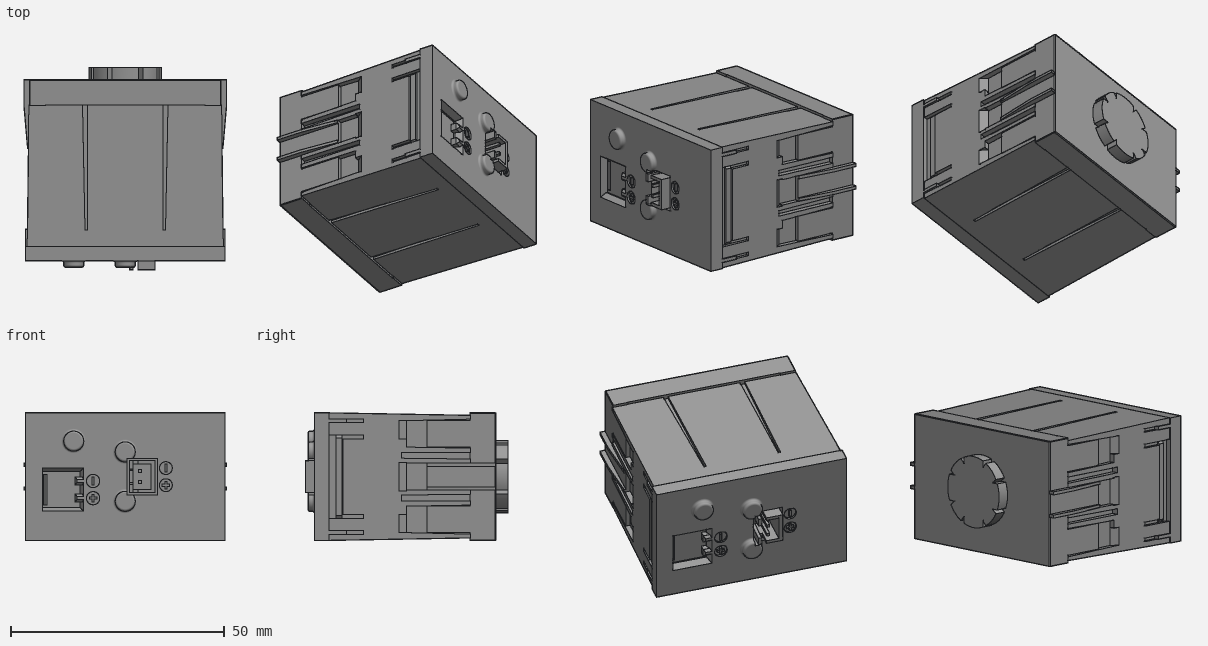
import cadquery as cq
import math


half_height = 14.975
panel_half_width = 23.35
panel_thickness = 3.43
body_front_y = 36.5
body_half_width_rear, body_half_width_front = 22.95, 22.55
body_half_height_rear, body_half_height_front = 14.95, 14.37
bezel_half_width = 22.45
bezel_face_y = 42.5
bezel_edge_chamfer = 0.15
bezel_face_chamfer = 0.3
bezel_lip = 0.12
bezel_lip_start_x = 18.7

knob_radius = 8.5
knob_end_y = 45.3
knob_lobe_half_width = 3.12
knob_notch_edge = 4.1
knob_notch_depth = 1.6

pocket_floor_x = 21.4
pocket_rear_y = 21.5
ramp_rear_y = 19.8
tongue_x = bezel_half_width
tongue_rear_y = 26.3
outer_tongue_z = (6.91, 13.1)
outer_pocket_front_z = (6.66, 13.45)
outer_pocket_rear_z = (6.91, 13.1)
outer_ramp_z = (8.82, 13.1)
center_pocket_half_z = 3.14
center_ramp_half_z = 3.35
rib_x, rib_end_x = 23.7, 22.87
rib_inner_z = 2.41
rib_front_y = 42.4
rib_taper_y = 36.0
outside_x = 25.0

side_groove_rear_y = 20.4
side_groove_outer_z = 5.65
side_groove_inner_z_front, side_groove_inner_z_rear = 4.12, 4.31
side_groove_floor_x = 21.2
top_groove_rear_y = 7.25
top_groove_inner_x = 8.83
top_groove_outer_x_front, top_groove_outer_x_rear = 10.0, 9.42
top_groove_floor_z = 13.8

finger_front_y = 11.45
tab_front_y = 7.46
tab_z = (12.65, 13.5)
inner_finger_z = (8.85, 9.8)
latch_slot_front_y = 6.66
latch_slot_floor_x = 22.0
latch_bar_y = (5.0, 6.45)
latch_bar_x = 22.65
latch_bar_half_z = 9.07

button_centers = [(-12.05, 8.3), (0.0, 5.78), (0.0, -5.78)]
button_radius = 4.7 / 2
button_flare = 0.5
button_round = 0.5
button_height = 1.5

left_mark_diameter, right_mark_diameter = 3.1, 3.0
left_mark_x, right_mark_x = -7.52, 9.51
left_marks_z = (-1.02, -5.04)
right_marks_z = (2.0, -2.0)
mark_depth = 0.5
mark_stroke = 0.5
mark_length = 1.8

terminal_x = (-19.35, -9.74)
terminal_z = (-8.09, 2.03)
terminal_depth = 2.0
terminal_slope_depth = 1.65
terminal_wall_slope = 0.82
contact_centers_z = (-1.0, -5.0)
contact_x = -11.7
contact_height = 1.8
contact_taper_x, contact_taper_z = 0.4, 0.55
contact_taper_depth = 0.6
side_slot_x = (-19.15, -18.35)
side_slot_z = (-6.62, 0.55)
side_slot_step_x = -18.75
side_slot_depth = 0.5
side_slot_step_depth = 1.0

recess_x = (0.44, 7.55)
recess_half_z = 4.3
recess_depth = 5.0
shroud_x = (1.05, 7.0)
shroud_half_z = 3.72
shroud_front_y = -2.1
key_wall = 0.8
cavity_right_x = 6.03
cavity_half_z = 2.96
notch_end_x = 2.95
notch_floor_y = 1.0
key_gap_half_z, key_gap_floor_half_z = 1.8, 1.4
key_gap_taper_y = (0.5, 3.0)
pin_size = 0.7
pin_x = 3.42
pin_pitch = 2.54


def box(x_range, y_range, z_range):
    """Axis-aligned block between the given limits."""
    size = [limit[1] - limit[0] for limit in (x_range, y_range, z_range)]
    corner = cq.Vector(x_range[0], y_range[0], z_range[0])
    return cq.Workplane(cq.Solid.makeBox(*size, corner))


def prism_x(points_yz, x_start, x_end):
    """Outline in (Y, Z), extruded along X."""
    return cq.Workplane("YZ", origin=(x_start, 0, 0)).polyline(points_yz).close().extrude(x_end - x_start)


def prism_y(points_xz, y_start, y_end):
    """Outline in (X, Z), extruded along Y."""
    plane = cq.Plane(origin=(0, y_start, 0), xDir=(1, 0, 0), normal=(0, -1, 0))
    return cq.Workplane(plane).polyline(points_xz).close().extrude(y_start - y_end)


def prism_z(points_xy, z_start, z_end):
    """Outline in (X, Y), extruded along Z."""
    return cq.Workplane("XY", origin=(0, 0, z_start)).polyline(points_xy).close().extrude(z_end - z_start)


def disc(x, z, radius, y_start, y_end):
    """Round disc with its axis along Y."""
    axis = cq.Vector(0, 1, 0)
    return cq.Workplane(cq.Solid.makeCylinder(radius, y_end - y_start, cq.Vector(x, y_start, z), axis))


def frustum(x_rear, z_rear, y_rear, x_front, z_front, y_front):
    """Loft between two upright rectangles given by their X and Z limits."""
    wires = []
    for x_range, z_range, y in ((x_rear, z_rear, y_rear), (x_front, z_front, y_front)):
        corners = [(x, y, z) for x, z in (
            (x_range[0], z_range[0]),
            (x_range[1], z_range[0]),
            (x_range[1], z_range[1]),
            (x_range[0], z_range[1]),
        )]
        wires.append(cq.Wire.makePolygon([cq.Vector(*corner) for corner in corners], close=True))
    return cq.Workplane(cq.Solid.makeLoft(wires, True))


def plus_minus(value):
    return (-value, value)


def both_sides(shape):
    """The shape together with its mirror image on the other X side."""
    return shape.union(shape.mirror("YZ"))


def above_and_below(shape):
    """The shape together with its mirror image below Z = 0."""
    return shape.union(shape.mirror("XY"))


def body_side(y):
    """Half width of the drafted body at a given Y."""
    fraction = (y - panel_thickness) / (body_front_y - panel_thickness)
    return body_half_width_rear + fraction * (body_half_width_front - body_half_width_rear)


def make_housing():
    panel = box(plus_minus(panel_half_width), (0, panel_thickness), plus_minus(half_height))
    body = frustum(
        plus_minus(body_half_width_rear), plus_minus(body_half_height_rear), panel_thickness,
        plus_minus(body_half_width_front), plus_minus(body_half_height_front), body_front_y,
    )
    return panel.union(body)


def make_bezel():
    outer_x, outer_z = plus_minus(bezel_half_width), plus_minus(half_height)
    lip_y = body_front_y - bezel_lip
    bezel = box(outer_x, (lip_y, bezel_face_y), outer_z)
    bezel = bezel.edges("|Y").chamfer(bezel_edge_chamfer)
    core_y = bezel_face_y - bezel_face_chamfer
    core_x = plus_minus(bezel_half_width - bezel_edge_chamfer)
    core_z = plus_minus(half_height - bezel_edge_chamfer)
    front_taper = frustum(outer_x, outer_z, core_y, core_x, core_z, bezel_face_y)
    front_strip = box(outer_x, (core_y, bezel_face_y), outer_z)
    bezel = bezel.cut(front_strip.cut(front_taper))
    lip_gap = box(plus_minus(bezel_lip_start_x), (lip_y, body_front_y), outer_z)
    return bezel.cut(lip_gap)


def make_knob():
    """Round knob with eight V notches, mirrored about both axes and both diagonals."""
    knob = disc(0, 0, knob_radius, bezel_face_y, knob_end_y)
    lobe_edge = math.sqrt(knob_radius ** 2 - knob_lobe_half_width ** 2)
    notch_edge = math.sqrt(knob_radius ** 2 - knob_notch_edge ** 2)
    clearance = 1.0
    notch_points = [
        (knob_lobe_half_width, lobe_edge + clearance),
        (knob_lobe_half_width, lobe_edge - knob_notch_depth),
        (knob_notch_edge, notch_edge),
        (knob_notch_edge, lobe_edge + clearance),
    ]
    notch = prism_y(notch_points, bezel_face_y, knob_end_y)
    notches = both_sides(notch)
    for quarter_turn in range(4):
        knob = knob.cut(notches.rotate((0, 0, 0), (0, 1, 0), 90 * quarter_turn))
    return knob


def latch_ramp(z_range):
    """Slope from the pocket floor out to the body side, for the -X side."""
    points = [
        (-pocket_floor_x, pocket_rear_y),
        (-outside_x, pocket_rear_y),
        (-body_side(ramp_rear_y), ramp_rear_y),
    ]
    return prism_z(points, *z_range)


def latch_pockets():
    """Pockets around the three latch tongues of the -X side."""
    outer_points = [
        (body_front_y, outer_pocket_front_z[0]),
        (body_front_y, outer_pocket_front_z[1]),
        (pocket_rear_y, outer_pocket_rear_z[1]),
        (pocket_rear_y, outer_pocket_rear_z[0]),
    ]
    outer = prism_x(outer_points, -outside_x, -pocket_floor_x).union(latch_ramp(outer_ramp_z))
    center = box(
        (-outside_x, -pocket_floor_x), (pocket_rear_y, body_front_y), plus_minus(center_pocket_half_z)
    )
    center = center.union(latch_ramp(plus_minus(center_ramp_half_z)))
    return above_and_below(outer).union(center)


def latch_tongues():
    """Tongues reaching back from the bezel on the -X side; the middle one carries two ribs."""
    x_range = (-tongue_x, -pocket_floor_x)
    y_range = (tongue_rear_y, body_front_y)
    tongues = above_and_below(box(x_range, y_range, outer_tongue_z))
    tongues = tongues.union(box(x_range, y_range, plus_minus(center_pocket_half_z)))
    rib_points = [
        (-pocket_floor_x, rib_front_y),
        (-rib_x, rib_front_y),
        (-rib_x, rib_taper_y),
        (-rib_end_x, tongue_rear_y),
        (-pocket_floor_x, tongue_rear_y),
    ]
    return tongues.union(above_and_below(prism_z(rib_points, rib_inner_z, center_pocket_half_z)))


def side_grooves():
    points = [
        (body_front_y, side_groove_inner_z_front),
        (body_front_y, side_groove_outer_z),
        (side_groove_rear_y, side_groove_outer_z),
        (side_groove_rear_y, side_groove_inner_z_rear),
    ]
    return above_and_below(prism_x(points, -outside_x, -side_groove_floor_x))


def top_grooves():
    points = [
        (-top_groove_inner_x, body_front_y),
        (-top_groove_outer_x_front, body_front_y),
        (-top_groove_outer_x_rear, top_groove_rear_y),
        (-top_groove_inner_x, top_groove_rear_y),
    ]
    return above_and_below(prism_z(points, top_groove_floor_z, half_height))


def rear_latch_slots():
    """Finger slots and the tall latch slot at the rear of the -X side."""
    x_range = (-outside_x, -latch_slot_floor_x)
    outer = box(x_range, (panel_thickness, finger_front_y), tab_z)
    inner = box(x_range, (panel_thickness, finger_front_y), inner_finger_z)
    tall = box(x_range, (panel_thickness, latch_slot_front_y), plus_minus(inner_finger_z[1]))
    return above_and_below(outer.union(inner)).union(tall)


def rear_latch_parts():
    """Panel tabs and the bevelled latch bar at the rear of the -X side."""
    tab = box((-panel_half_width, -latch_slot_floor_x), (panel_thickness, tab_front_y), tab_z)
    bar_points = [
        (-latch_slot_floor_x, inner_finger_z[1]),
        (-latch_bar_x, latch_bar_half_z),
        (-latch_bar_x, -latch_bar_half_z),
        (-latch_slot_floor_x, -inner_finger_z[1]),
    ]
    return above_and_below(tab).union(prism_y(bar_points, *latch_bar_y))


def make_button(x, z):
    """Button with a flared foot and a rounded rim, revolved about its own axis."""
    diagonal = math.sqrt(0.5)
    flare_mid = (button_radius + button_flare * (1 - diagonal), button_flare * (diagonal - 1))
    rim_radius = button_radius - button_round
    rim_y = button_round - button_height
    rim_mid = (rim_radius + button_round * diagonal, rim_y - button_round * diagonal)
    profile = (
        cq.Workplane("XY")
        .moveTo(0, 0)
        .lineTo(button_radius + button_flare, 0)
        .threePointArc(flare_mid, (button_radius, -button_flare))
        .lineTo(button_radius, rim_y)
        .threePointArc(rim_mid, (rim_radius, -button_height))
        .lineTo(0, -button_height)
        .close()
    )
    return profile.revolve(360, (0, 0, 0), (0, 1, 0)).translate((x, 0, z))


def polarity_mark(x, z, diameter, is_plus):
    """Engraved disc in which the sign stays at panel level."""
    half_stroke = plus_minus(mark_stroke / 2)
    half_length = plus_minus(mark_length / 2)
    sign = box(half_stroke, (0, mark_depth), half_length)
    if is_plus:
        sign = sign.union(box(half_length, (0, mark_depth), half_stroke))
    return disc(x, z, diameter / 2, 0, mark_depth).cut(sign.translate((x, 0, z)))


def terminal_pocket():
    """Pocket with three sloping walls and a narrow stepped slot in its floor."""
    floor_x = (terminal_x[0], terminal_x[1] - terminal_wall_slope)
    floor_z = (terminal_z[0] + terminal_wall_slope, terminal_z[1] - terminal_wall_slope)
    pocket = frustum(terminal_x, terminal_z, 0, floor_x, floor_z, terminal_slope_depth)
    pocket = pocket.union(box(floor_x, (terminal_slope_depth, terminal_depth), floor_z))
    slot = box(side_slot_x, (terminal_depth, terminal_depth + side_slot_depth), side_slot_z)
    step_y = (terminal_depth, terminal_depth + side_slot_step_depth)
    step = box((side_slot_x[0], side_slot_step_x), step_y, side_slot_z)
    return pocket.union(slot).union(step)


def terminal_contact(z):
    """Contact block standing on the pocket floor, tapered towards the panel face."""
    x_range = (contact_x, terminal_x[1])
    z_range = (z - contact_height / 2, z + contact_height / 2)
    tip_x = (contact_x + contact_taper_x, terminal_x[1])
    tip_z = (z_range[0] + contact_taper_z, z_range[1] - contact_taper_z)
    block = box(x_range, (contact_taper_depth, terminal_depth), z_range)
    return block.union(frustum(tip_x, tip_z, 0, x_range, z_range, contact_taper_depth))


def connector_recess():
    """Clearance around the connector; it also trims the two neighbouring buttons."""
    return box(recess_x, (shroud_front_y, recess_depth), plus_minus(recess_half_z))


def make_connector():
    """Shroud with a split key wall, corner notches and two square pins."""
    key_inner_x = shroud_x[0] + key_wall
    shroud = box(shroud_x, (shroud_front_y, recess_depth), plus_minus(shroud_half_z))
    cavity = box((key_inner_x, cavity_right_x), (shroud_front_y, recess_depth), plus_minus(cavity_half_z))
    notch = box((key_inner_x, notch_end_x), (shroud_front_y, notch_floor_y), plus_minus(shroud_half_z))
    gap_points = [
        (shroud_front_y, key_gap_half_z),
        (key_gap_taper_y[0], key_gap_half_z),
        (key_gap_taper_y[1], key_gap_floor_half_z),
        (key_gap_taper_y[1], -key_gap_floor_half_z),
        (key_gap_taper_y[0], -key_gap_half_z),
        (shroud_front_y, -key_gap_half_z),
    ]
    key_gap = prism_x(gap_points, shroud_x[0], key_inner_x)
    connector = shroud.cut(cavity).cut(notch).cut(key_gap)
    half_pin = plus_minus(pin_size / 2)
    pin = box(half_pin, (shroud_front_y, recess_depth), half_pin)
    for z in plus_minus(pin_pitch / 2):
        connector = connector.union(pin.translate((pin_x, 0, z)))
    return connector


housing = make_housing()
for cutter in (latch_pockets(), side_grooves(), rear_latch_slots(), top_grooves()):
    housing = housing.cut(both_sides(cutter))
housing = housing.union(make_bezel()).union(make_knob())
for addition in (latch_tongues(), rear_latch_parts()):
    housing = housing.union(both_sides(addition))

for center_x, center_z in button_centers:
    housing = housing.union(make_button(center_x, center_z))
for mark_x, marks_z, mark_diameter in (
    (left_mark_x, left_marks_z, left_mark_diameter),
    (right_mark_x, right_marks_z, right_mark_diameter),
):
    minus_z, plus_z = marks_z
    housing = housing.cut(polarity_mark(mark_x, minus_z, mark_diameter, False))
    housing = housing.cut(polarity_mark(mark_x, plus_z, mark_diameter, True))

housing = housing.cut(terminal_pocket())
for contact_z in contact_centers_z:
    housing = housing.union(terminal_contact(contact_z))

housing = housing.cut(connector_recess()).union(make_connector())
result = housing